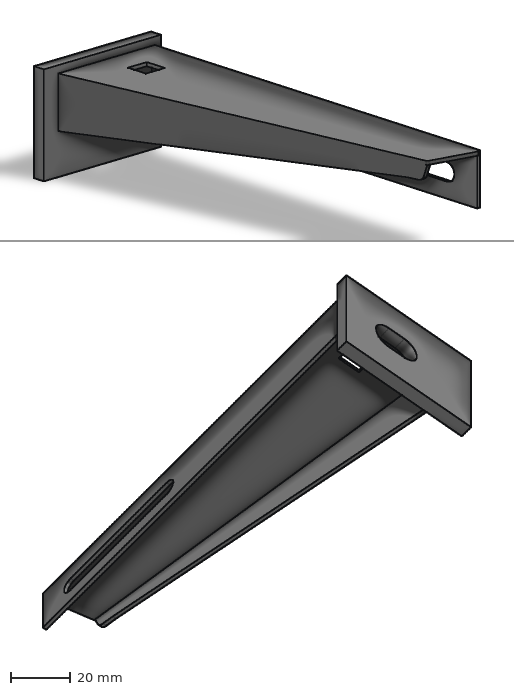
import cadquery as cq
import math

length = 165.0
plate_thickness = 5.0
plate_width = 55.0
plate_height = 40.0
mount_slot_length = 18.0
mount_slot_height = 11.2
mount_slot_y = 5.5

sheet = 1.5
edge_margin = 3.0
arm_height = 20.5
arm_top = plate_height / 2 - edge_margin
arm_bottom = arm_top - arm_height
back_y = plate_width / 2 - edge_margin
root_y = -20.8
tip_y = 3.3
flange_end_x = 160.7
back_wall_end_x = 164.5
taper_angle = math.atan2(tip_y - root_y, flange_end_x - plate_thickness)

taper_start_x = 6.0
taper_end_x = 152.6
flange_toe_x = 158.7
flange_tip_depth = 7.5
toe_radius = 2.5
web_corner_radius = 0.8

square_hole = 8.9
square_hole_x = 21.1
square_hole_y = 5.1
wall_slot_start_x = 95.4
wall_slot_end_x = 153.3
wall_slot_height = 7.0
wall_slot_bottom = arm_bottom + 6.1


def make_end_plate():
    plate = cq.Workplane("XY").box(
        plate_thickness, plate_width, plate_height, centered=(False, True, True)
    )
    slot = (
        cq.Workplane("YZ")
        .center(mount_slot_y, 0)
        .slot2D(mount_slot_length, mount_slot_height)
        .extrude(plate_thickness)
    )
    return plate.cut(slot)


def make_web():
    web = (
        cq.Workplane("XY", origin=(0, 0, arm_top - sheet))
        .polyline([
            (plate_thickness, root_y),
            (flange_end_x, tip_y),
            (length, back_y - sheet),
            (back_wall_end_x, back_y - sheet),
            (back_wall_end_x, back_y),
            (plate_thickness, back_y),
        ])
        .close()
        .extrude(sheet)
    )
    tip_corner = cq.selectors.NearestToPointSelector((flange_end_x, tip_y, arm_top - sheet / 2))
    web = web.edges("|Z").edges(tip_corner).fillet(web_corner_radius)
    hole = cq.Workplane("XY").center(square_hole_x, square_hole_y).rect(square_hole, square_hole)
    return web.cut(hole.extrude(arm_top))


def make_back_wall():
    wall_length = back_wall_end_x - plate_thickness
    wall = cq.Workplane("XY").box(wall_length, sheet, arm_height, centered=False)
    wall = wall.translate((plate_thickness, back_y - sheet, arm_bottom))
    slot_x = (wall_slot_start_x + wall_slot_end_x) / 2
    slot_z = wall_slot_bottom + wall_slot_height / 2
    slot = (
        cq.Workplane("XZ", origin=(0, back_y, 0))
        .center(slot_x, slot_z)
        .slot2D(wall_slot_end_x - wall_slot_start_x, wall_slot_height)
        .extrude(sheet)
    )
    return wall.cut(slot)


def make_front_flange():
    sheet_y = sheet / math.cos(taper_angle)
    strip = (
        cq.Workplane("XY", origin=(0, 0, arm_bottom))
        .polyline([
            (plate_thickness, root_y),
            (flange_end_x, tip_y),
            (flange_end_x, tip_y + sheet_y),
            (plate_thickness, root_y + sheet_y),
        ])
        .close()
        .extrude(arm_height)
    )
    tip_bottom = arm_top - flange_tip_depth
    web_bottom = arm_top - sheet
    profile = (
        cq.Workplane("XZ", origin=(0, back_y, 0))
        .polyline([
            (plate_thickness, arm_bottom),
            (taper_start_x, arm_bottom),
            (taper_end_x, tip_bottom),
            (flange_toe_x, tip_bottom),
            (flange_end_x, web_bottom),
            (plate_thickness, web_bottom),
        ])
        .close()
        .extrude(plate_width)
    )
    toe = cq.selectors.NearestToPointSelector((flange_toe_x, back_y - plate_width / 2, tip_bottom))
    profile = profile.edges("|Y").edges(toe).fillet(toe_radius)
    return strip.intersect(profile)


def make_arm():
    return make_web().union(make_back_wall()).union(make_front_flange())


end_plate = make_end_plate()
arm = make_arm()
result = cq.Compound.makeCompound([end_plate.val(), *arm.solids().vals()])